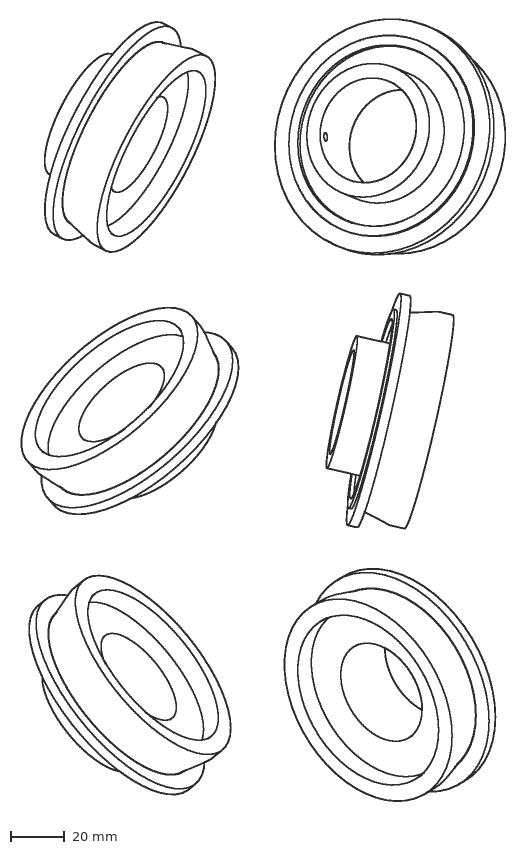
import cadquery as cq

hub_shoulder = 12.7
outer_start = 11.2
flange_start = 12.3
flange_end = 16.0
taper_end = 27.7
total_length = 33.3
hub_end = 25.7

bore_diameter = 39.7
hub_diameter = 50.8
disc_diameter = 68.45
outer_bore_diameter = 68.8
collar_diameter = 76.2
taper_start_diameter = 75.7
rim_diameter = 82.0
flange_diameter = 88.9

cross_hole_diameter = 3.0
cross_hole_depth = 3.6
cross_hole_x = 4.8


def cylinder(diameter, start, end):
    """Solid cylinder about the X axis between two axial positions."""
    return cq.Workplane("YZ", origin=(start, 0, 0)).circle(diameter / 2).extrude(end - start)


def make_hub():
    """Extended inner hub with a larger disc, a through bore and one blind cross hole."""
    neck = cylinder(hub_diameter, 0, hub_shoulder)
    disc = cylinder(disc_diameter, hub_shoulder, hub_end)
    bore = cylinder(bore_diameter, 0, hub_end)
    cross_hole = (
        cq.Workplane("XZ", origin=(cross_hole_x, 0, 0))
        .circle(cross_hole_diameter / 2)
        .extrude(-(bore_diameter / 2 + cross_hole_depth))
    )
    return neck.union(disc).cut(bore).cut(cross_hole)


def make_outer_ring():
    """Ring with a collar for the flange, a taper and a cylindrical rim."""
    bore_radius = outer_bore_diameter / 2
    collar_radius = collar_diameter / 2
    rim_radius = rim_diameter / 2
    half_section = [
        (outer_start, bore_radius),
        (outer_start, collar_radius),
        (flange_end, collar_radius),
        (flange_end, taper_start_diameter / 2),
        (taper_end, rim_radius),
        (total_length, rim_radius),
        (total_length, bore_radius),
    ]
    return cq.Workplane("XY").polyline(half_section).close().revolve(360, (0, 0, 0), (1, 0, 0))


def make_flange_ring():
    """Flat ring seated on the collar of the outer ring."""
    disc = cylinder(flange_diameter, flange_start, flange_end)
    return disc.cut(cylinder(collar_diameter, flange_start, flange_end))


hub = make_hub()
outer_ring = make_outer_ring()
flange_ring = make_flange_ring()

result = cq.Compound.makeCompound([hub.val(), outer_ring.val(), flange_ring.val()])